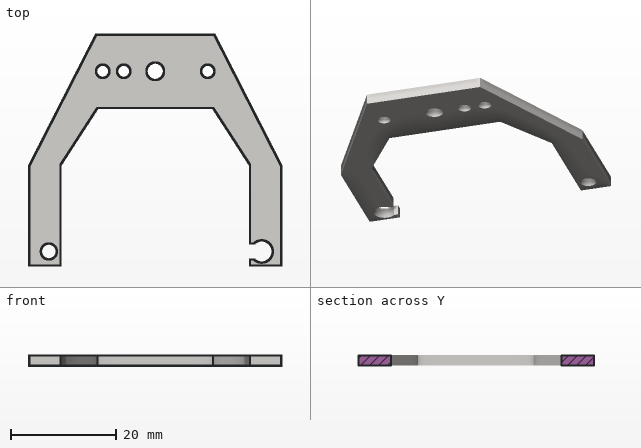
import cadquery as cq

width = 48.0
length = 44.0
thickness = 2.0
top_edge_width = 22.5
outer_shoulder_y = 19.0

arm_width = 6.0
opening_depth = 30.0
opening_top_width = 22.0
inner_shoulder_y = 19.2

bridge_row_y = 37.0
small_hole_diameter = 2.5
small_hole_x_positions = (-10.0, -6.0, 10.0)
center_hole_diameter = 3.3

pivot_x = 20.25
pivot_y = 2.7
pivot_hole_diameter = 3.0
socket_diameter = 4.2
socket_mouth_width = 3.0


def tapered_profile(base_width, top_width, shoulder_y, top_y):
    """Solid with straight sides up to the shoulder, then tapering to the top edge."""
    half_base = base_width / 2
    half_top = top_width / 2
    return (
        cq.Workplane("XY")
        .polyline([
            (-half_base, 0),
            (half_base, 0),
            (half_base, shoulder_y),
            (half_top, top_y),
            (-half_top, top_y),
            (-half_base, shoulder_y),
        ])
        .close()
        .extrude(thickness)
    )


def through_hole(x, y, diameter):
    """Cylinder that cuts a hole through the plate."""
    return cq.Workplane("XY").center(x, y).circle(diameter / 2).extrude(thickness)


def socket():
    """Round seat with a narrower mouth leading into the opening."""
    mouth_length = pivot_x - (width / 2 - arm_width)
    mouth = (
        cq.Workplane("XY")
        .center(pivot_x - mouth_length / 2, pivot_y)
        .rect(mouth_length, socket_mouth_width)
        .extrude(thickness)
    )
    return through_hole(pivot_x, pivot_y, socket_diameter).union(mouth)


outline = tapered_profile(width, top_edge_width, outer_shoulder_y, length)
opening_width = width - 2 * arm_width
opening = tapered_profile(opening_width, opening_top_width, inner_shoulder_y, opening_depth)
plate = outline.cut(opening)

for hole_x in small_hole_x_positions:
    plate = plate.cut(through_hole(hole_x, bridge_row_y, small_hole_diameter))
plate = plate.cut(through_hole(0, bridge_row_y, center_hole_diameter))

plate = plate.cut(through_hole(-pivot_x, pivot_y, pivot_hole_diameter))
plate = plate.cut(socket())

result = plate